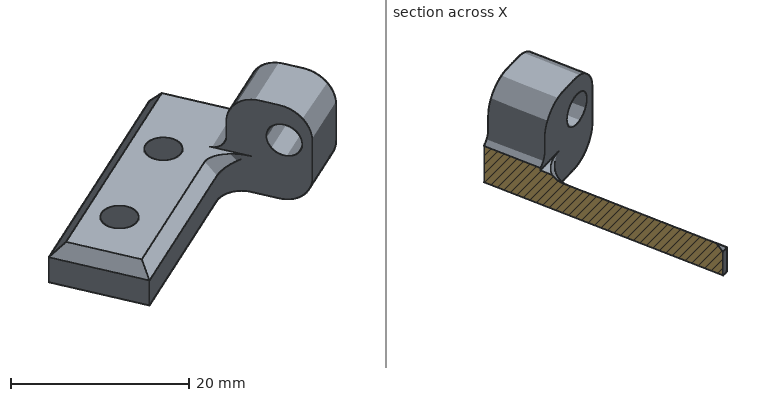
import cadquery as cq

total_width = 22.47
total_length = 31.38
total_height = 13.1

plate_width = 12.1
plate_thickness = 5.02
chamfer = 1.5
hole_diameter = 4.3
plate_hole_x = 5.43
plate_hole_ys = (8.0, 21.68)

lug_depth = 7.45
lug_face_y = total_length - lug_depth
lug_corner_radius = 4.0
lug_root_radius = 2.0
lug_hole_x = 19.08
lug_hole_z = 8.35

inner_radius = 3.0
inner_center_x = plate_width + inner_radius
inner_start_y = lug_face_y - inner_radius


def make_plate():
    """Flat plate with its -X and -Y top edges chamfered."""
    plate = cq.Workplane("XY").box(plate_width, total_length, plate_thickness, centered=False)
    return plate.faces(">Z").edges("<X or <Y").chamfer(chamfer)


def make_lug():
    """Lug with three rounded corners and a concave root on top of the plate."""
    r = lug_corner_radius
    root_start_x = plate_width - lug_root_radius
    root_end_z = plate_thickness + lug_root_radius
    return (
        cq.Workplane("XZ", origin=(0, total_length, 0))
        .moveTo(root_start_x, 0)
        .lineTo(total_width - r, 0)
        .radiusArc((total_width, r), -r)
        .lineTo(total_width, total_height - r)
        .radiusArc((total_width - r, total_height), -r)
        .lineTo(plate_width + r, total_height)
        .radiusArc((plate_width, total_height - r), -r)
        .lineTo(plate_width, root_end_z)
        .radiusArc((root_start_x, plate_thickness), lug_root_radius)
        .close()
        .extrude(lug_depth)
    )


def make_inner_fillet():
    """Full-height fill of the inside corner."""
    return (
        cq.Workplane("XY")
        .moveTo(plate_width, inner_start_y)
        .radiusArc((inner_center_x, lug_face_y), inner_radius)
        .lineTo(plate_width, lug_face_y)
        .close()
        .extrude(plate_thickness)
    )


def make_side_chamfer_cutter():
    """Slanted prism that chamfers the +X edge and fades out along the inside fillet.

    Its outline lies on the plate top and is swept down and outward at 45 degrees,
    so the quarter ellipse narrows to nothing where it meets the lug face.
    """
    edge_x = plate_width - chamfer
    ellipse_width = inner_radius + chamfer
    points = [
        cq.Vector(inner_center_x, lug_face_y, plate_thickness),
        cq.Vector(inner_center_x, 0, plate_thickness),
        cq.Vector(edge_x, 0, plate_thickness),
        cq.Vector(edge_x, inner_start_y, plate_thickness),
    ]
    straight_edges = [cq.Edge.makeLine(start, end) for start, end in zip(points, points[1:])]
    curved_edge = cq.Edge.makeEllipse(
        ellipse_width,
        inner_radius,
        pnt=cq.Vector(inner_center_x, inner_start_y, plate_thickness),
        dir=cq.Vector(0, 0, 1),
        xdir=cq.Vector(1, 0, 0),
        angle1=90,
        angle2=180,
    )
    outline = cq.Wire.assembleEdges(straight_edges + [curved_edge])
    return cq.Solid.extrudeLinear(outline, [], cq.Vector(chamfer, 0, -chamfer))


def make_holes():
    """Vertical pins for the plate holes and one along Y for the lug hole."""
    plate_holes = (
        cq.Workplane("XY")
        .pushPoints([(plate_hole_x, y) for y in plate_hole_ys])
        .circle(hole_diameter / 2)
        .extrude(plate_thickness)
    )
    lug_hole = (
        cq.Workplane("XZ", origin=(0, total_length, 0))
        .center(lug_hole_x, lug_hole_z)
        .circle(hole_diameter / 2)
        .extrude(lug_depth)
    )
    return plate_holes.add(lug_hole).combine()


body = make_plate().union(make_lug()).union(make_inner_fillet())
result = body.cut(cq.Workplane(make_side_chamfer_cutter())).cut(make_holes())